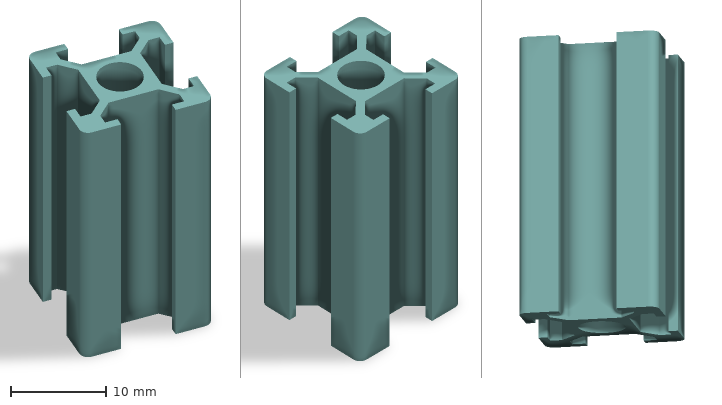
import cadquery as cq
import math

side = 15.0
length = 30.0
wall = 1.0
corner_radius = 1.0
mouth_width = 6.25
cavity_width = 9.1
core_width = 7.1
bore_diameter = 5.0

web_offset = wall / math.sqrt(2)
half_side = side / 2
half_mouth = mouth_width / 2
half_cavity = cavity_width / 2
lip_inner = half_side - wall
slot_floor = core_width / 2
half_floor = slot_floor - web_offset
shoulder = half_cavity + web_offset


def slot_cutter():
    """T-slot in the +Y face, running the full length."""
    right_half = [
        (half_mouth, half_side),
        (half_mouth, lip_inner),
        (half_cavity, lip_inner),
        (half_cavity, shoulder),
        (half_floor, slot_floor),
    ]
    left_half = [(-x, y) for x, y in reversed(right_half)]
    return cq.Workplane("XY").polyline(right_half + left_half).close().extrude(length)


result = cq.Workplane("XY").rect(side, side).extrude(length)
result = result.edges("|Z").fillet(corner_radius)

slot = slot_cutter()
for angle in (0, 90, 180, 270):
    result = result.cut(slot.rotate((0, 0, 0), (0, 0, 1), angle))

bore = cq.Workplane("XY").circle(bore_diameter / 2).extrude(length)
result = result.cut(bore)